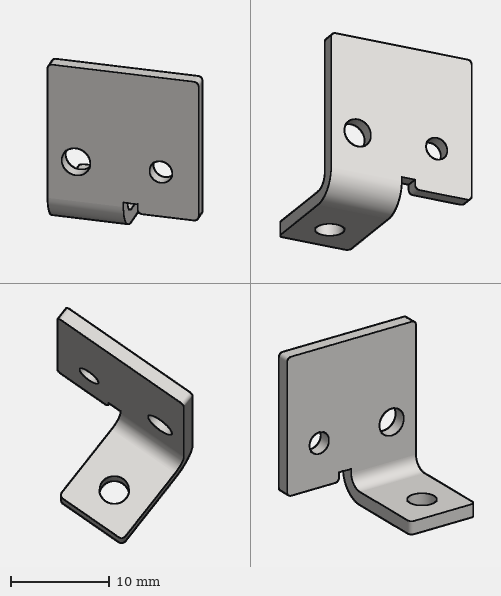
import cadquery as cq

width = 16.0
depth = 12.0
height = 18.0
thickness = 1.5

inner_bend_radius = 1.51
outer_bend_radius = inner_bend_radius + thickness

left_panel_width = 8.05
bridge_width = 1.5
right_panel_start = left_panel_width + bridge_width
bridge_bottom = 3.5
right_panel_bottom = 2.43
corner_radius = 0.5

large_hole_diameter = 3.0
small_hole_diameter = 2.4
upright_hole_height = 7.42
left_hole_x = 3.02
right_hole_x = 12.0
foot_hole_x = 3.9
foot_hole_y = depth - 3.87


def upright_panel(start_x, end_x, bottom):
    """Flat plate standing on the front plane from bottom to full height."""
    return cq.Workplane("XY").box(
        end_x - start_x, thickness, height - bottom, centered=False
    ).translate((start_x, 0, bottom))


def bent_panel():
    """Left panel: an L-shaped strip with a rounded bend."""
    bend_center = (outer_bend_radius, outer_bend_radius)
    diagonal = 0.5 ** 0.5
    outer_mid = tuple(c - outer_bend_radius * diagonal for c in bend_center)
    inner_mid = tuple(c - inner_bend_radius * diagonal for c in bend_center)
    panel = (
        cq.Workplane("YZ")
        .moveTo(0, height)
        .lineTo(0, outer_bend_radius)
        .threePointArc(outer_mid, (outer_bend_radius, 0))
        .lineTo(depth, 0)
        .lineTo(depth, thickness)
        .lineTo(outer_bend_radius, thickness)
        .threePointArc(inner_mid, (thickness, outer_bend_radius))
        .lineTo(thickness, height)
        .close()
        .extrude(left_panel_width)
    )
    panel = panel.faces(">Y").edges("|Z").fillet(corner_radius)
    return panel.faces(">Z").edges("|Y and <X").fillet(corner_radius)


def right_panel():
    """Flat right panel, rounded at every corner except beside the bridge top."""
    panel = upright_panel(right_panel_start, width, right_panel_bottom)
    panel = panel.faces("<Z").edges("|Y").fillet(corner_radius)
    return panel.faces(">Z").edges("|Y and >X").fillet(corner_radius)


def upright_hole(x, diameter):
    """Cutter for a hole through the upright plate."""
    return (
        cq.Workplane("XZ")
        .center(x, upright_hole_height)
        .circle(diameter / 2)
        .extrude(-thickness)
    )


def foot_hole():
    """Cutter for the hole through the foot."""
    return (
        cq.Workplane("XY")
        .center(foot_hole_x, foot_hole_y)
        .circle(large_hole_diameter / 2)
        .extrude(thickness)
    )


bridge = upright_panel(left_panel_width, right_panel_start, bridge_bottom)
bracket = bent_panel().union(bridge).union(right_panel())

result = (
    bracket
    .cut(upright_hole(left_hole_x, large_hole_diameter))
    .cut(upright_hole(right_hole_x, small_hole_diameter))
    .cut(foot_hole())
)